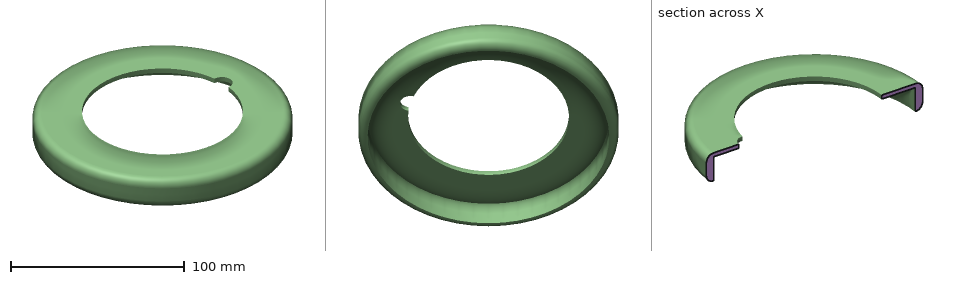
import cadquery as cq

outer_diameter = 150.0
height = 19.0
edge_radius = 5.1

bore_diameter = 92.7
notch_diameter = 12.0
notch_center_y = 46.4

plate_thickness = 3.0
wall_thickness = 5.4


def rounded_disc():
    disc = cq.Workplane("XY").circle(outer_diameter / 2).extrude(height)
    return disc.faces("<Z or >Z").edges().fillet(edge_radius)


def underside_recess():
    radius = outer_diameter / 2 - wall_thickness
    return cq.Workplane("XY").circle(radius).extrude(height - plate_thickness)


def notched_opening():
    bore = cq.Workplane("XY").circle(bore_diameter / 2).extrude(height)
    notch = cq.Workplane("XY").center(0, notch_center_y).circle(notch_diameter / 2).extrude(height)
    return bore.union(notch)


result = rounded_disc().cut(underside_recess()).cut(notched_opening())